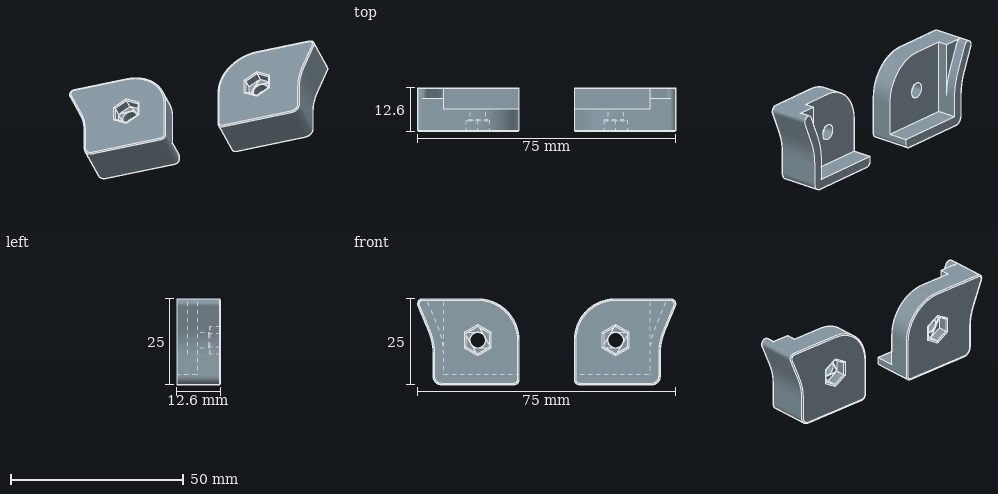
import cadquery as cq
import math

LENGTH = 75.0
DEPTH = 12.6
HEIGHT = 25.0

WALL = 3.0
SHOULDER_RADIUS = 12.0
HOLE_X = -20.0
HOLE_Z = HEIGHT - SHOULDER_RADIUS
INNER_X = HOLE_X + SHOULDER_RADIUS
OUTER_X = -33.0
WALL_INNER_X = OUTER_X + WALL
FLARE_START_Z = 9.0
FLARE_RADIUS = 17.0
HEEL_RADIUS = 2.5
TOE_RADIUS = 1.5
TIP_RADIUS = WALL / 2

PLATE_DEPTH = 6.6
BLOCK_DEPTH = DEPTH - WALL
CHAMFER_WIDTH = 0.45
CHAMFER_DEPTH = 0.2

HOLE_DIAMETER = 4.5
NUT_FLATS = 6.9
NUT_DEPTH = 3.0
BRIDGE_STEP = 0.2
SLOT_ANGLES = (-60, 0)

TIP_X = -LENGTH / 2 + TIP_RADIUS
TIP_Z = HEIGHT - TIP_RADIUS
FLARE_X = OUTER_X - FLARE_RADIUS
TIP_DISTANCE = math.hypot(TIP_X - FLARE_X, TIP_Z - FLARE_START_Z)
TIP_BEARING = math.atan2(TIP_Z - FLARE_START_Z, TIP_X - FLARE_X)
FLARE_ANGLE = TIP_BEARING - math.acos((FLARE_RADIUS + TIP_RADIUS) / TIP_DISTANCE)


def on_circle(x, z, radius, angle):
    """Point at an angle (radians from +X towards +Z) on a circle."""
    return (x + radius * math.cos(angle), z + radius * math.sin(angle))


def flare_point(radius, fraction):
    """Point on a flare arc; fraction 0 is its lower end and 1 its upper end."""
    return on_circle(FLARE_X, FLARE_START_Z, radius, fraction * FLARE_ANGLE)


def tip_point(angle):
    return on_circle(TIP_X, TIP_Z, TIP_RADIUS, angle)


def extrude_back(outline, depth):
    """Extrude a closed XZ outline from the front face towards +Y."""
    return outline.close().extrude(-depth)


def outer_edge():
    """Outer side of the clamp, from the bottom up to the top of the tip circle."""
    heel = (OUTER_X + HEEL_RADIUS, HEEL_RADIUS)
    return (
        cq.Workplane("XZ")
        .moveTo(heel[0], 0)
        .threePointArc(on_circle(*heel, HEEL_RADIUS, math.radians(225)), (OUTER_X, HEEL_RADIUS))
        .lineTo(OUTER_X, FLARE_START_Z)
        .threePointArc(flare_point(FLARE_RADIUS, 0.5), flare_point(FLARE_RADIUS, 1))
        .lineTo(*tip_point(math.pi + FLARE_ANGLE))
        .threePointArc(tip_point(math.pi), tip_point(math.pi / 2))
    )


def add_toe(outline):
    """Continue an outline down the inner side and around the toe to the bottom."""
    toe_x = INNER_X - TOE_RADIUS
    toe_middle = on_circle(toe_x, TOE_RADIUS, TOE_RADIUS, -math.pi / 4)
    return outline.lineTo(INNER_X, TOE_RADIUS).threePointArc(toe_middle, (toe_x, 0))


def make_plate():
    """Front plate with the large rounded shoulder."""
    outline = (
        outer_edge()
        .lineTo(HOLE_X, HEIGHT)
        .threePointArc(
            on_circle(HOLE_X, HOLE_Z, SHOULDER_RADIUS, math.pi / 4), (INNER_X, HOLE_Z)
        )
    )
    return extrude_back(add_toe(outline), PLATE_DEPTH)


def make_block():
    """Thickened outer wall, filled up to the inner face of the wall."""
    outline = outer_edge().lineTo(WALL_INNER_X, HEIGHT).lineTo(WALL_INNER_X, 0)
    return extrude_back(outline, BLOCK_DEPTH)


def make_wall_and_base():
    """Full-depth outer wall with a rounded tip, running into the flat base."""
    inner_radius = FLARE_RADIUS + WALL
    outline = (
        outer_edge()
        .threePointArc(tip_point(math.pi / 4), tip_point(FLARE_ANGLE))
        .lineTo(*flare_point(inner_radius, 1))
        .threePointArc(flare_point(inner_radius, 0.5), flare_point(inner_radius, 0))
        .lineTo(WALL_INNER_X, WALL)
        .lineTo(INNER_X, WALL)
    )
    return extrude_back(add_toe(outline), DEPTH)


def hexagon(across_flats):
    """Hexagon around the hole on the front face, with corners at top and bottom."""
    corner_radius = across_flats / math.sqrt(3)
    corners = [
        on_circle(HOLE_X, HOLE_Z, corner_radius, math.radians(30 + 60 * i)) for i in range(6)
    ]
    return cq.Workplane("XZ").polyline(corners).close()


def make_bridge_slot(angle):
    """Slot as wide as the hole, turned about the hole axis and running through the plate."""
    return (
        cq.Workplane("XZ")
        .center(HOLE_X, HOLE_Z)
        .rect(2 * NUT_FLATS, HOLE_DIAMETER)
        .extrude(-PLATE_DEPTH)
        .rotate((HOLE_X, 0, HOLE_Z), (HOLE_X, -1, HOLE_Z), angle)
    )


def make_bridge_step(count):
    """Step number count: what the first count slots have in common inside the nut hexagon."""
    step = hexagon(NUT_FLATS).extrude(-NUT_DEPTH - count * BRIDGE_STEP)
    for angle in SLOT_ANGLES[:count]:
        step = step.intersect(make_bridge_slot(angle))
    return step


def make_bolt_cutter():
    """Chamfered nut pocket, two stepped slots and the through hole."""
    pocket = hexagon(NUT_FLATS).extrude(-NUT_DEPTH)
    taper = math.degrees(math.atan2(CHAMFER_WIDTH, CHAMFER_DEPTH))
    mouth = hexagon(NUT_FLATS + 2 * CHAMFER_WIDTH).extrude(-CHAMFER_DEPTH, taper=taper)
    hole = (
        cq.Workplane("XZ").center(HOLE_X, HOLE_Z).circle(HOLE_DIAMETER / 2).extrude(-PLATE_DEPTH)
    )
    cutter = pocket.union(mouth).union(hole)

    for count in range(1, len(SLOT_ANGLES) + 1):
        cutter = cutter.union(make_bridge_step(count))
    return cutter


def make_clamp():
    body = make_plate().union(make_block()).union(make_wall_and_base())
    body = body.faces("<Y").chamfer(CHAMFER_DEPTH, CHAMFER_WIDTH)
    return body.cut(make_bolt_cutter())


left_clamp = make_clamp()
right_clamp = left_clamp.mirror("YZ")

result = cq.Compound.makeCompound([left_clamp.val(), right_clamp.val()])